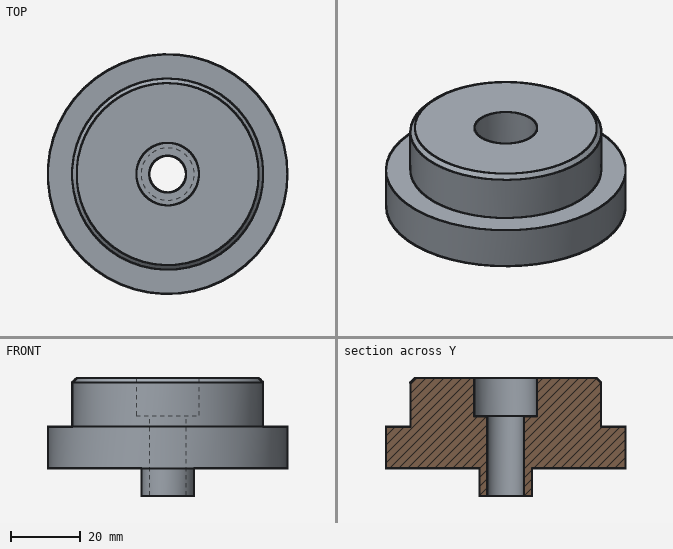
import cadquery as cq

flange_diameter = 69.0
flange_height = 12.0
boss_diameter = 55.0
boss_height = 14.0
boss_chamfer = 1.3
spigot_diameter = 15.2
spigot_height = 8.0
bore_diameter = 10.5
counterbore_diameter = 18.0
counterbore_depth = 11.0

boss_top = flange_height + boss_height
total_height = spigot_height + boss_top


def cylinder(diameter, height, base_z):
    """Upright cylinder on the Z axis, starting at base_z."""
    return cq.Workplane("XY").workplane(offset=base_z).circle(diameter / 2).extrude(height)


spigot = cylinder(spigot_diameter, spigot_height, -spigot_height)
flange = cylinder(flange_diameter, flange_height, 0)
boss = cylinder(boss_diameter, boss_height, flange_height).faces(">Z").chamfer(boss_chamfer)
body = flange.union(boss).union(spigot)

bore = cylinder(bore_diameter, total_height, -spigot_height)
counterbore = cylinder(counterbore_diameter, counterbore_depth, boss_top - counterbore_depth)

result = body.cut(bore).cut(counterbore)